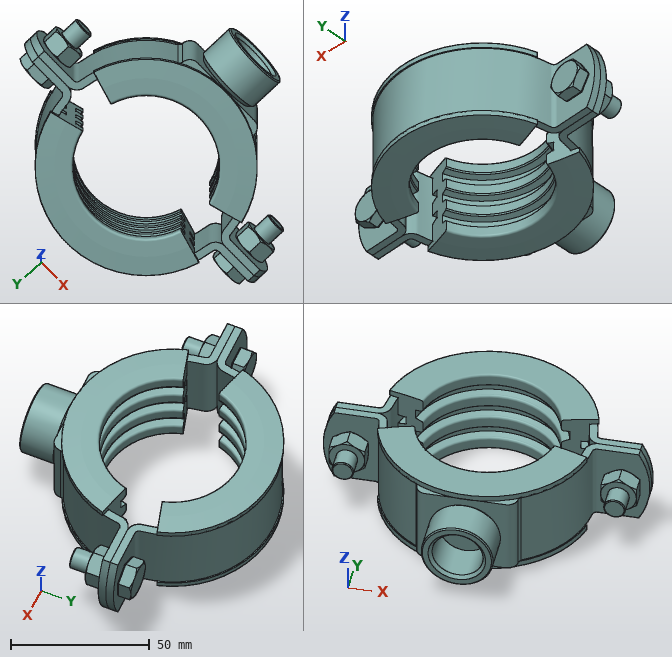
import cadquery as cq
import math


shell_outer_radius = 39.5
sheet_thickness = 3.0
shell_inner_radius = shell_outer_radius - sheet_thickness
shell_height = 30.0
half_height = shell_height / 2
ear_tip_x = 60.0
ear_end_radius = 30.0
bend_inside_radius = 1.7
bend_outside_radius = bend_inside_radius + sheet_thickness

pad_face_y = -39.7
pad_half_width = 18.6
pad_foot_half_width = 19.3
pad_corner_radius = 3.8

liner_bore_radius = 26.4
liner_half_height = 17.5
liner_end_angle = 15.5
liner_lip_radius = 40.0
liner_lip_edge_z = 17.2
liner_flat_radius = 33.0
rib_count = 4
rib_pitch = 10.0
rib_round = 1.0
groove_floor_radius = 29.4
groove_width = 4.7
groove_undercut = 1.1
rib_under_chamfer = 0.5
rib_top_slope = 0.7
first_groove_bottom_z = 8.3
back_groove_radius = 33.4
back_groove_count = 2
back_groove_width = 3.1
back_groove_slope = 0.8
first_back_groove_bottom_z = 3.8

socket_radius = 13.2
socket_end_y = -54.5
socket_bore_radius = 9.4
socket_mouth_chamfer = 1.2
socket_base_chamfer = 1.5
socket_edge_chamfer = 0.5

bolt_x = 49.9
bolt_radius = 4.0
bolt_tip_y = -17.0
bolt_tip_chamfer = 0.4
across_flats = 13.1
hex_half_step = 30.0
head_height = 5.3
seat_height = 0.4
seat_across_flats = 12.6
nut_height = 6.7
hex_chamfer_angle = 30.0
left_head_turn = hex_half_step
right_head_turn = 0.0


def arc_point(center_x, center_y, radius, angle):
    """Point on a circle, with the angle in degrees."""
    turn = math.radians(angle)
    return (center_x + radius * math.cos(turn), center_y + radius * math.sin(turn))


def mirrored(point):
    return (-point[0], point[1])


def extrude_y(outline, start_y, end_y):
    """Extrude a sketch drawn on a Y-facing plane from start_y to end_y."""
    return outline.extrude(end_y - start_y).translate((0, start_y, 0))


def y_plane():
    """Workplane through the origin, with X across, Z up the pipe axis and +Y as normal."""
    return cq.Workplane(cq.Plane(origin=(0, 0, 0), xDir=(1, 0, 0), normal=(0, 1, 0)))


def bolt_hole(x):
    reach = 2 * sheet_thickness
    return extrude_y(y_plane().center(x, 0).circle(bolt_radius), -reach, reach)


def make_half_shell():
    """Half ring on the +Y side that bends outward into two flat ears."""
    bend_y = bend_outside_radius
    bend_distance = shell_outer_radius + bend_inside_radius
    bend_x = math.sqrt(bend_distance**2 - bend_y**2)
    bend_angle = math.degrees(math.atan2(bend_y, bend_x))
    middle_angle = (180 + bend_angle + 270) / 2

    outer_bend_start = (bend_x, sheet_thickness)
    outer_bend_middle = arc_point(bend_x, bend_y, bend_inside_radius, middle_angle)
    outer_bend_end = arc_point(0, 0, shell_outer_radius, bend_angle)
    inner_bend_start = arc_point(0, 0, shell_inner_radius, bend_angle)
    inner_bend_middle = arc_point(bend_x, bend_y, bend_outside_radius, middle_angle)
    inner_bend_end = (bend_x, 0)

    strip = (
        cq.Workplane("XY")
        .workplane(offset=-half_height)
        .moveTo(ear_tip_x, 0)
        .lineTo(ear_tip_x, sheet_thickness)
        .lineTo(*outer_bend_start)
        .threePointArc(outer_bend_middle, outer_bend_end)
        .threePointArc((0, shell_outer_radius), mirrored(outer_bend_end))
        .threePointArc(mirrored(outer_bend_middle), mirrored(outer_bend_start))
        .lineTo(-ear_tip_x, sheet_thickness)
        .lineTo(-ear_tip_x, 0)
        .lineTo(*mirrored(inner_bend_end))
        .threePointArc(mirrored(inner_bend_middle), mirrored(inner_bend_start))
        .threePointArc((0, shell_inner_radius), inner_bend_start)
        .threePointArc(inner_bend_middle, inner_bend_end)
        .close()
        .extrude(shell_height)
    )

    arc_center_x = ear_tip_x - ear_end_radius
    ear_corner_x = arc_center_x + math.sqrt(ear_end_radius**2 - half_height**2)
    ear_outline = (
        y_plane()
        .moveTo(-ear_corner_x, -half_height)
        .lineTo(ear_corner_x, -half_height)
        .threePointArc((ear_tip_x, 0), (ear_corner_x, half_height))
        .lineTo(-ear_corner_x, half_height)
        .threePointArc((-ear_tip_x, 0), (-ear_corner_x, -half_height))
        .close()
    )
    shell = strip.intersect(extrude_y(ear_outline, 0, shell_outer_radius))
    return shell.cut(bolt_hole(bolt_x)).cut(bolt_hole(-bolt_x))


def make_pad():
    """Flat pad that carries the socket, with rounded shoulders, filled up to the liner."""
    foot_y = -math.sqrt(shell_outer_radius**2 - pad_foot_half_width**2)
    corner_x = pad_half_width - pad_corner_radius
    corner_y = pad_face_y + pad_corner_radius
    corner_middle = arc_point(corner_x, corner_y, pad_corner_radius, -45)
    block = (
        cq.Workplane("XY")
        .workplane(offset=-half_height)
        .moveTo(pad_foot_half_width, foot_y)
        .lineTo(pad_half_width, corner_y)
        .threePointArc(corner_middle, (corner_x, pad_face_y))
        .lineTo(-corner_x, pad_face_y)
        .threePointArc(mirrored(corner_middle), (-pad_half_width, corner_y))
        .lineTo(-pad_foot_half_width, foot_y)
        .close()
        .extrude(shell_height)
    )
    hollow = cq.Workplane("XY").circle(shell_inner_radius).extrude(half_height, both=True)
    return block.cut(hollow)


def make_liner():
    """Ribbed rubber liner on the +Y side; its lips cover both edges of the shell."""
    rounded_radius = liner_bore_radius + rib_round
    round_offset = rib_round * (1 - math.sqrt(0.5))

    def round_rib_top(profile, top_z):
        middle = (liner_bore_radius + round_offset, top_z - round_offset)
        return profile.threePointArc(middle, (liner_bore_radius, top_z - rib_round))

    profile = cq.Workplane("XZ").moveTo(rounded_radius, liner_half_height)
    profile = round_rib_top(profile, liner_half_height)

    for index in range(rib_count - 1):
        bottom_z = first_groove_bottom_z - index * rib_pitch
        top_z = bottom_z + groove_width
        profile = (
            profile.lineTo(liner_bore_radius, top_z)
            .lineTo(liner_bore_radius + rib_under_chamfer, top_z - rib_under_chamfer)
            .lineTo(groove_floor_radius, top_z - groove_undercut)
            .lineTo(groove_floor_radius, bottom_z)
            .lineTo(rounded_radius, bottom_z - rib_top_slope)
        )
        profile = round_rib_top(profile, bottom_z - rib_top_slope)

    bottom_middle = (liner_bore_radius + round_offset, round_offset - liner_half_height)
    profile = (
        profile.lineTo(liner_bore_radius, rib_round - liner_half_height)
        .threePointArc(bottom_middle, (rounded_radius, -liner_half_height))
        .lineTo(liner_flat_radius, -liner_half_height)
        .lineTo(liner_lip_radius, -liner_lip_edge_z)
        .lineTo(liner_lip_radius, -half_height)
        .lineTo(shell_inner_radius, -half_height)
        .lineTo(shell_inner_radius, half_height)
        .lineTo(liner_lip_radius, half_height)
        .lineTo(liner_lip_radius, liner_lip_edge_z)
        .lineTo(liner_flat_radius, liner_half_height)
        .close()
    )
    sweep = 180 - 2 * liner_end_angle
    liner = profile.revolve(sweep, (0, 0), (0, 1)).rotate((0, 0, 0), (0, 0, 1), liner_end_angle)

    for index in range(back_groove_count):
        bottom_z = first_back_groove_bottom_z - index * rib_pitch
        top_z = bottom_z + back_groove_width
        back_groove = (
            cq.Workplane("XZ")
            .moveTo(back_groove_radius, bottom_z)
            .lineTo(back_groove_radius, top_z)
            .lineTo(shell_inner_radius, top_z)
            .lineTo(shell_inner_radius, bottom_z - back_groove_slope)
            .close()
            .revolve(360, (0, 0), (0, 1))
        )
        liner = liner.cut(back_groove)
    return liner


def make_socket():
    """Plain-bored sleeve standing on the pad, chamfered at base, rim and mouth."""
    sleeve = extrude_y(y_plane().circle(socket_radius), socket_end_y, pad_face_y)
    sleeve = sleeve.faces(">Y").chamfer(socket_base_chamfer)
    sleeve = sleeve.faces("<Y").chamfer(socket_edge_chamfer)
    bore = extrude_y(y_plane().circle(socket_bore_radius), socket_end_y, pad_face_y)
    sleeve = sleeve.cut(bore)
    mouth = sleeve.faces("<Y").edges(cq.selectors.RadiusNthSelector(0))
    return mouth.chamfer(socket_mouth_chamfer)


def corner_width(flats):
    """Width across the corners of a regular hexagon."""
    return flats / math.cos(math.radians(hex_half_step))


def hex_bar(flats, start_y, end_y):
    """Hexagonal prism along Y, with two corners pointing along Z."""
    bar = extrude_y(y_plane().polygon(6, corner_width(flats)), start_y, end_y)
    return bar.rotate((0, 0, 0), (0, 1, 0), hex_half_step)


def chamfered_disc(start_y, end_y, chamfer_start, chamfer_end):
    """Disc around the hexagon corners whose cones trim those corners at the chosen ends."""
    across_corners = corner_width(across_flats)
    corner_trim = (across_corners - across_flats) / 2
    drop = corner_trim * math.tan(math.radians(hex_chamfer_angle))
    disc = extrude_y(y_plane().circle(across_corners / 2), start_y, end_y)
    if chamfer_start:
        disc = disc.faces("<Y").chamfer(drop, corner_trim)
    if chamfer_end:
        disc = disc.faces(">Y").chamfer(drop, corner_trim)
    return disc


def make_bolt(x, head_turn):
    """Hexagon bolt with its head on the +Y ear and its tip toward -Y."""
    seat_y = sheet_thickness
    hex_start = seat_y + seat_height
    head_end = seat_y + head_height
    head = hex_bar(across_flats, hex_start, head_end)
    head = head.intersect(chamfered_disc(hex_start, head_end, False, True))
    seat = hex_bar(seat_across_flats, seat_y, hex_start)
    shank = extrude_y(y_plane().circle(bolt_radius), bolt_tip_y, hex_start)
    shank = shank.faces("<Y").chamfer(bolt_tip_chamfer)
    bolt = head.union(seat).union(shank)
    return bolt.rotate((0, 0, 0), (0, 1, 0), head_turn).translate((x, 0, 0))


def make_nut(x):
    """Hexagon nut against the -Y ear."""
    seat_y = -sheet_thickness
    end_y = seat_y - nut_height
    nut = hex_bar(across_flats, end_y, seat_y)
    nut = nut.intersect(chamfered_disc(end_y, seat_y, True, True))
    hole = extrude_y(y_plane().circle(bolt_radius), end_y, seat_y)
    return nut.cut(hole).translate((x, 0, 0))


upper_shell = make_half_shell()
lower_shell = make_half_shell().mirror("XZ").union(make_pad())

upper_liner = make_liner()
lower_liner = make_liner().mirror("XZ")

socket = make_socket()

bolts = []
nuts = []
for x, head_turn in ((-bolt_x, left_head_turn), (bolt_x, right_head_turn)):
    bolts.append(make_bolt(x, head_turn))
    nuts.append(make_nut(x))

bodies = [upper_shell, lower_shell, upper_liner, lower_liner, socket, *bolts, *nuts]
result = cq.Compound.makeCompound([body.solids().val() for body in bodies])